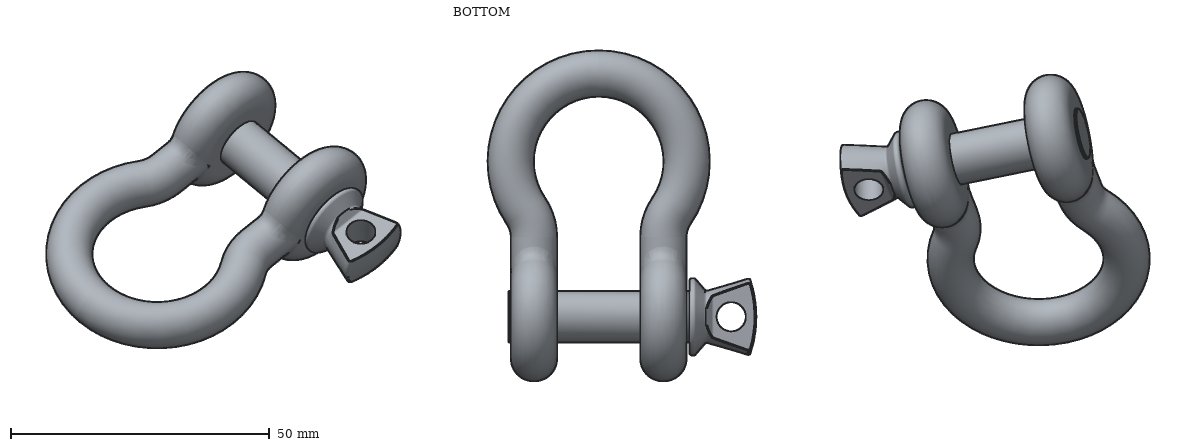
import cadquery as cq
import math


rod_radius = 4.5
bow_radius = 17.0
neck_radius = 9.0
leg_x = 12.5
pin_y = 30.0

eye_radius = 12.5
eye_fillet = 3.0
eye_flat_radius = eye_radius - rod_radius

pin_radius = 5.0
pin_chamfer = 0.2
pin_end_x = -17.5

collar_radius = 7.5
collar_x = 17.5
collar_cone_x = 18.55
collar_inner_fillet = 0.6
collar_edge_fillet = 0.6
collar_cone_slope = 1.15
grip_root_radius = 5.0
grip_root_x = collar_cone_x + (collar_radius - grip_root_radius) / collar_cone_slope
grip_root_fillet = 0.6
grip_corner_x = 29.2
grip_corner_radius = 7.5
grip_end_x = 30.5
grip_corner_fillet = 0.5
grip_thickness = 7.0
flat_root_fillet = 0.5
flat_edge_chamfer = 0.15
cutter_clearance = 1.0
grip_hole_x = 25.6
grip_hole_diameter = 5.6


def make_half_bow():
    """Round bar swept along the -X leg, its reverse bend and half of the large arc."""
    bend_x = leg_x + neck_radius
    bend_y = math.sqrt((bow_radius + neck_radius) ** 2 - bend_x**2)
    tangent_angle = math.atan2(bend_y, bend_x)
    tangent_x = bow_radius * math.cos(tangent_angle)
    tangent_y = bow_radius * math.sin(tangent_angle)
    bend_middle_x = bend_x - neck_radius * math.cos(tangent_angle / 2)
    bend_middle_y = bend_y - neck_radius * math.sin(tangent_angle / 2)
    path = (
        cq.Workplane("XY")
        .moveTo(-leg_x, pin_y)
        .lineTo(-leg_x, bend_y)
        .threePointArc((-bend_middle_x, bend_middle_y), (-tangent_x, tangent_y))
        .threePointArc((-bow_radius, 0), (0, -bow_radius))
    )
    section = cq.Workplane("XZ", origin=(-leg_x, pin_y, 0)).circle(rod_radius)
    return section.sweep(path)


def make_eye():
    """Disc with a full-round rim at the end of the -X leg."""
    return (
        cq.Workplane("XY", origin=(-leg_x, pin_y, 0))
        .moveTo(-rod_radius, 0)
        .lineTo(-rod_radius, eye_flat_radius)
        .threePointArc((0, eye_radius), (rod_radius, eye_flat_radius))
        .lineTo(rod_radius, 0)
        .close()
        .revolve(360, (0, 0, 0), (1, 0, 0))
    )


def make_bow():
    """Two mirrored halves, each with its eye blended into the leg."""
    seam = "%BSPLINE"
    half = make_half_bow().union(make_eye()).edges(seam).fillet(eye_fillet)
    return half.union(half.mirror("YZ"))


def make_pin():
    """Plain round pin with a chamfered end, reaching into the collar."""
    return (
        cq.Workplane("YZ", origin=(pin_end_x, pin_y, 0))
        .circle(pin_radius)
        .extrude(collar_cone_x - pin_end_x)
        .faces("<X")
        .chamfer(pin_chamfer)
    )


def make_head_blank():
    """Turned shape of the head: collar, cone, flared grip and domed end."""
    dome_height = grip_end_x - grip_corner_x
    dome_radius = (dome_height**2 + grip_corner_radius**2) / (2 * dome_height)
    dome_center_x = grip_end_x - dome_radius
    dome_half_angle = math.asin(grip_corner_radius / dome_radius) / 2
    dome_middle = (
        dome_center_x + dome_radius * math.cos(dome_half_angle),
        dome_radius * math.sin(dome_half_angle),
    )
    outline = (
        cq.Workplane("XY", origin=(0, pin_y, 0))
        .moveTo(collar_x, 0)
        .lineTo(collar_x, collar_radius)
        .lineTo(collar_cone_x, collar_radius)
        .lineTo(grip_root_x, grip_root_radius)
        .lineTo(grip_corner_x, grip_corner_radius)
        .threePointArc(dome_middle, (grip_end_x, 0))
        .close()
    )
    profile = cq.Face.makeFromWires(outline.val())
    rounded_corners = (
        (collar_x, collar_radius, collar_inner_fillet),
        (collar_cone_x, collar_radius, collar_edge_fillet),
        (grip_root_x, grip_root_radius, grip_root_fillet),
        (grip_corner_x, grip_corner_radius, grip_corner_fillet),
    )
    for x, radius, fillet_radius in rounded_corners:
        corner = cq.selectors.NearestToPointSelector((x, pin_y + radius, 0))
        profile = profile.fillet2D(fillet_radius, [profile.vertices(corner)])
    axis_start = cq.Vector(0, pin_y, 0)
    axis_end = cq.Vector(1, pin_y, 0)
    return cq.Workplane(cq.Solid.revolve(profile, 360, axis_start, axis_end))


def make_flat_cutter():
    """Material removed above the grip: a slope in line with the collar cone, then a flat."""
    half_thickness = grip_thickness / 2
    flat_x = collar_cone_x + (collar_radius - half_thickness) / collar_cone_slope
    cutter_top = 2 * collar_radius
    cutter_end_x = grip_end_x + cutter_clearance
    return (
        cq.Workplane("XZ", origin=(0, pin_y, 0))
        .moveTo(grip_root_x, cutter_top)
        .lineTo(grip_root_x, grip_root_radius)
        .lineTo(flat_x, half_thickness)
        .lineTo(cutter_end_x, half_thickness)
        .lineTo(cutter_end_x, cutter_top)
        .close()
        .extrude(collar_radius, both=True)
        .edges(cq.selectors.NearestToPointSelector((flat_x, pin_y, half_thickness)))
        .fillet(flat_root_fillet)
    )


def make_head():
    """Head with two flats on the grip and a cross hole."""
    cutter = make_flat_cutter()
    hole = (
        cq.Workplane("XY", origin=(grip_hole_x, pin_y, 0))
        .circle(grip_hole_diameter / 2)
        .extrude(grip_thickness, both=True)
    )
    head = make_head_blank().cut(cutter).cut(cutter.mirror("XY"))
    flat_outlines = head.faces("|Z").edges("not |Y")
    return flat_outlines.chamfer(flat_edge_chamfer).cut(hole)


result = make_bow().union(make_pin()).union(make_head())